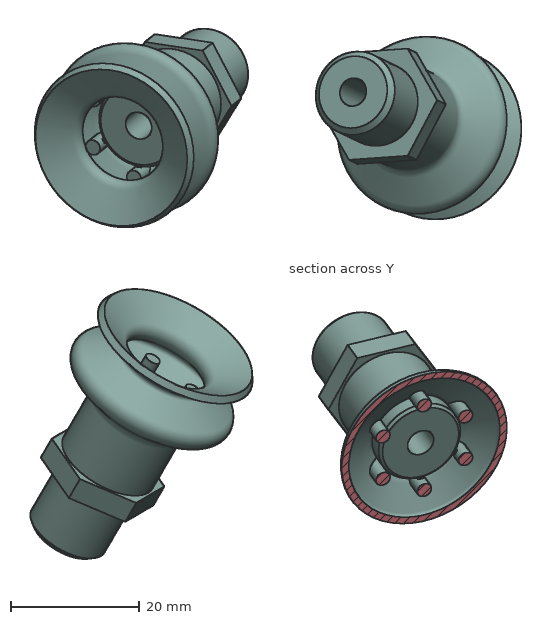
import cadquery as cq
import math


total_length = 39.5
hex_front = 24.55
hex_back = 28.45
insert_front = 10.75

wall = 1.25
cone_angle = math.radians(60)
lip_radius = 12.88
max_diameter = 28.0
crest_fillet = 1.9
neck_fillet = 0.55
shoulder_fillet = 1.75
neck_radius = 8.2
sleeve_radius = 8.0

peg_count = 6
peg_radius = 1.22
peg_circle_radius = 8.05
peg_front = 8.9
peg_first_angle = 30.0

insert_radius = 6.9
insert_chamfer = 0.47
hex_sides = 6
hex_across_flats = 17.0
thread_radius = 6.6
thread_chamfer = 0.9
bore_radius = 2.2

slope = 1 / math.tan(cone_angle)
cos_cone = math.cos(cone_angle)
sin_cone = math.sin(cone_angle)

mouth_radius = lip_radius + wall * cos_cone
mouth_y = wall * sin_cone
neck_centre_radius = neck_radius + neck_fillet
crest_centre_radius = max_diameter / 2 - crest_fillet
shoulder_centre_radius = sleeve_radius + shoulder_fillet

neck_tangent_radius = neck_centre_radius - neck_fillet * cos_cone
crest_tangent_radius = crest_centre_radius + crest_fillet * cos_cone
shoulder_tangent_radius = shoulder_centre_radius - shoulder_fillet * cos_cone

neck_y = mouth_y + (mouth_radius - neck_tangent_radius) * slope + neck_fillet * sin_cone
crest_y = (neck_y + (neck_fillet + crest_fillet) * sin_cone
           + (crest_tangent_radius - neck_tangent_radius) * slope)
shoulder_y = (crest_y + (crest_fillet + shoulder_fillet) * sin_cone
              + (crest_tangent_radius - shoulder_tangent_radius) * slope)


def turn(profile):
    """Revolve a closed half profile about the Y axis."""
    return profile.close().revolve(360, (0, 0, 0), (0, 1, 0))


def cylinder(radius, start_y, end_y):
    """Cylinder on the Y axis between two stations."""
    return cq.Workplane("XZ", origin=(0, start_y, 0)).circle(radius).extrude(start_y - end_y)


def bellows_form(inset):
    """Solid inside the cup's outer skin, moved inwards by inset."""
    neck = neck_fillet + inset
    crest = crest_fillet - inset
    shoulder = shoulder_fillet + inset

    neck_r = neck_centre_radius - neck * cos_cone
    crest_r = crest_centre_radius + crest * cos_cone
    shoulder_r = shoulder_centre_radius - shoulder * cos_cone
    sleeve_r = shoulder_centre_radius - shoulder

    profile = cq.Workplane("XY").lineTo(lip_radius, 0)
    if inset < wall:
        profile = profile.lineTo(mouth_radius, mouth_y)
    profile = (
        profile
        .lineTo(neck_r, neck_y - neck * sin_cone)
        .threePointArc((neck_centre_radius - neck, neck_y), (neck_r, neck_y + neck * sin_cone))
        .lineTo(crest_r, crest_y - crest * sin_cone)
        .threePointArc((crest_centre_radius + crest, crest_y), (crest_r, crest_y + crest * sin_cone))
        .lineTo(shoulder_r, shoulder_y - shoulder * sin_cone)
        .radiusArc((sleeve_r, shoulder_y), shoulder)
        .lineTo(sleeve_r, hex_front)
        .lineTo(0, hex_front)
    )
    return turn(profile)


def make_pegs(outer_form):
    """Ring of pegs that stand on the back wall of the convolution."""
    pegs = (
        cq.Workplane("XZ", origin=(0, peg_front, 0))
        .polarArray(peg_circle_radius, peg_first_angle, 360, peg_count)
        .circle(peg_radius)
        .extrude(peg_front - shoulder_y)
    )
    return pegs.intersect(outer_form)


def make_cup():
    """Bellows cup with its pegs, bored to seat the fitting; the bore just shaves the pegs."""
    outer_form = bellows_form(0)
    cavity = bellows_form(wall)
    insert_seat = cylinder(insert_radius, insert_front, hex_front)
    return outer_form.cut(cavity).union(make_pegs(outer_form)).cut(insert_seat)


def make_fitting():
    """Bored fitting: insert inside the cup, hexagon, and plain shank for the thread."""
    insert = cylinder(insert_radius, insert_front, hex_front).faces("<Y").chamfer(insert_chamfer)
    thread = cylinder(thread_radius, hex_back, total_length).faces(">Y").chamfer(thread_chamfer)
    corner_diameter = hex_across_flats / math.cos(math.pi / hex_sides)
    hexagon = (
        cq.Workplane("XZ", origin=(0, hex_front, 0))
        .polygon(hex_sides, corner_diameter)
        .extrude(hex_front - hex_back)
    )
    bore = cylinder(bore_radius, insert_front, total_length)
    return insert.union(hexagon).union(thread).cut(bore)


cup = make_cup()
fitting = make_fitting()

result = cq.Compound.makeCompound([*cup.solids().vals(), *fitting.solids().vals()])